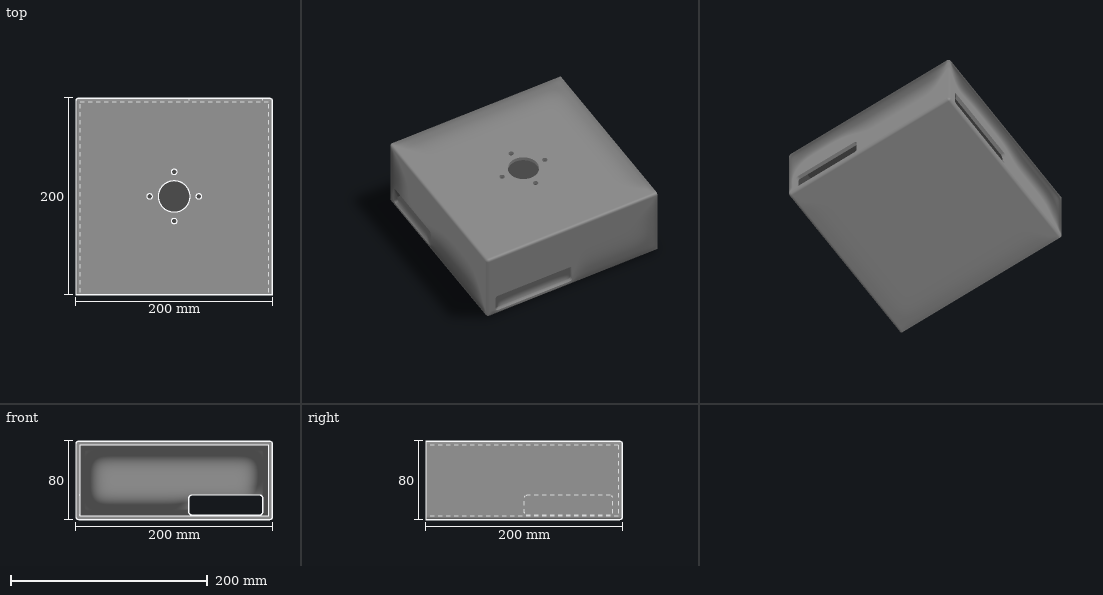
import cadquery as cq

WIDTH = 200.0
DEPTH = 200.0
HEIGHT = 80.0
WALL = 4.0
EDGE_RADIUS = 3.0

WINDOW_HEIGHT = 20.0
WINDOW_CORNER_RADIUS = 3.0
WINDOW_SILL = 5.0
WINDOW_END_MARGIN = 10.0
REAR_WINDOW_LENGTH = 75.0
SIDE_WINDOW_LENGTH = 90.0

CENTRE_HOLE_DIAMETER = 32.0
SMALL_HOLE_DIAMETER = 5.6
SMALL_HOLE_CIRCLE_RADIUS = 25.0
SMALL_HOLE_COUNT = 4

CUT_MARGIN = 1.0
CUT_LENGTH = WALL + 2 * CUT_MARGIN
WINDOW_CENTRE_Z = -HEIGHT / 2 + WINDOW_SILL + WINDOW_HEIGHT / 2


def make_shell():
    """Box with rounded long and rear edges, hollowed from the open front."""
    block = cq.Workplane("XY").box(WIDTH, DEPTH, HEIGHT)
    block = block.edges("|Y or >Y").fillet(EDGE_RADIUS)
    cavity = (
        cq.Workplane("XY")
        .box(WIDTH - 2 * WALL, DEPTH - WALL, HEIGHT - 2 * WALL)
        .translate((0, -WALL / 2, 0))
    )
    return block.cut(cavity)


def rear_window():
    """Cutter for the window through the rear wall, towards +X."""
    centre_x = WIDTH / 2 - WINDOW_END_MARGIN - REAR_WINDOW_LENGTH / 2
    return (
        cq.Workplane("XY")
        .box(REAR_WINDOW_LENGTH, CUT_LENGTH, WINDOW_HEIGHT)
        .edges("|Y")
        .fillet(WINDOW_CORNER_RADIUS)
        .translate((centre_x, DEPTH / 2 - WALL / 2, WINDOW_CENTRE_Z))
    )


def side_window():
    """Cutter for the window through the -X wall, towards the rear."""
    centre_y = DEPTH / 2 - WINDOW_END_MARGIN - SIDE_WINDOW_LENGTH / 2
    return (
        cq.Workplane("XY")
        .box(CUT_LENGTH, SIDE_WINDOW_LENGTH, WINDOW_HEIGHT)
        .edges("|X")
        .fillet(WINDOW_CORNER_RADIUS)
        .translate((-WIDTH / 2 + WALL / 2, centre_y, WINDOW_CENTRE_Z))
    )


def roof_holes():
    """Cutters for the central opening and the ring of small holes."""
    underside = cq.Workplane("XY").workplane(offset=HEIGHT / 2 - WALL - CUT_MARGIN)
    centre_hole = underside.circle(CENTRE_HOLE_DIAMETER / 2).extrude(CUT_LENGTH)
    small_holes = (
        underside.polarArray(SMALL_HOLE_CIRCLE_RADIUS, 0, 360, SMALL_HOLE_COUNT)
        .circle(SMALL_HOLE_DIAMETER / 2)
        .extrude(CUT_LENGTH)
    )
    return centre_hole.union(small_holes)


result = make_shell().cut(rear_window()).cut(side_window()).cut(roof_holes())